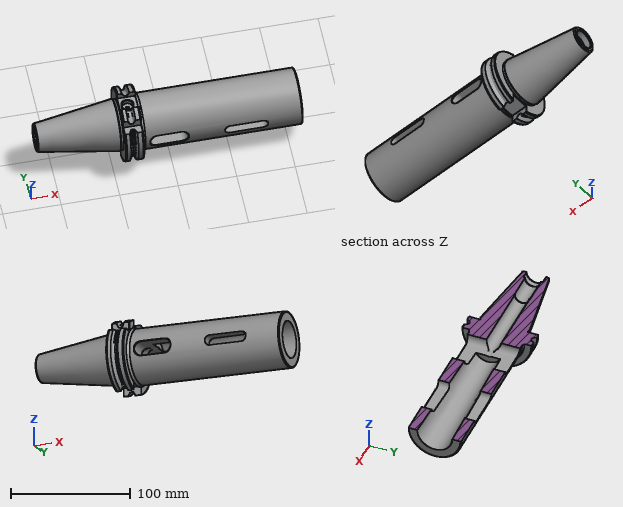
import cadquery as cq
import math

total_length = 224.5
shank_length = 68.5
body_end = total_length - shank_length

gauge_radius = 22.2
radius_per_length = 7 / 24 / 2
shank_tip_radius = gauge_radius - shank_length * radius_per_length
shank_tip_chamfer = 1.1

taper_end = 0.7
undercut_radius = 21.8
undercut_ramp = 0.7
undercut_face_depth = 0.2
undercut_face_radius = 22.7
taper_end_radius = gauge_radius + taper_end * radius_per_length

flange_start = 3.1
flange_end = 19.0
flange_radius = 31.6
flange_chamfer_length = 1.1
flange_chamfer_depth = 0.5
groove_center = 10.8
groove_wall_angle = math.radians(30)
groove_floor_radius = 28.3
groove_floor_half_width = 1.3
groove_corner_radius = 1.1

body_radius = 24.0
body_chamfer = 1.0
collar_length = 2.5
collar_radius = 25.1

drive_slot_width = 16.2
top_slot_floor = 25.0
bottom_slot_floor = 23.0
notch_side = 18.2
notch_floor = 18.5
cut_edge_chamfer = 0.5

screw_recess_radius = 5.0
screw_recess_chamfer = 0.5
screw_recess_depth = 4.5
screw_socket_radius = 1.5
screw_socket_depth = 1.8

tip_bore_radius = 8.5
tip_bore_depth = 6.7
tip_bore_chamfer = 0.7
thread_radius = 7.0
thread_lead_in = 1.1
thread_depth = 31.5
through_radius = 6.5
socket_mouth_radius = 15.7
socket_depth = 118.0
socket_end_radius = 12.5

drift_slot_start = 25.5
drift_slot_length = 32.5
drift_slot_width = 12.1
drift_slot_chamfer = 0.5
key_slot_start = 89.3
key_slot_length = 36.8
key_slot_width = 8.8


def revolve_about_axis(points):
    """Revolve an (axial, radial) outline about the X axis."""
    return cq.Workplane("XY").polyline(points).close().revolve(360, (0, 0, 0), (1, 0, 0))


def box_between(x_range, y_range, z_range):
    """Box spanning the given coordinate ranges."""
    ranges = (x_range, y_range, z_range)
    sizes = [high - low for low, high in ranges]
    middle = tuple((low + high) / 2 for low, high in ranges)
    return cq.Workplane("XY").box(*sizes).translate(middle)


def make_solid_of_revolution():
    tip = -shank_length
    flange_edge_radius = flange_radius - flange_chamfer_depth
    return revolve_about_axis([
        (tip, 0),
        (tip, shank_tip_radius - shank_tip_chamfer),
        (tip + shank_tip_chamfer, shank_tip_radius),
        (taper_end, taper_end_radius),
        (taper_end + undercut_ramp, undercut_radius),
        (flange_start + undercut_face_depth, undercut_radius),
        (flange_start, undercut_face_radius),
        (flange_start, flange_edge_radius),
        (flange_start + flange_chamfer_length, flange_radius),
        (flange_end - flange_chamfer_length, flange_radius),
        (flange_end, flange_edge_radius),
        (flange_end, collar_radius),
        (flange_end + collar_length, body_radius),
        (body_end - body_chamfer, body_radius),
        (body_end, body_radius - body_chamfer),
        (body_end, 0),
    ])


def make_gripper_groove():
    wall_slope = math.tan(groove_wall_angle)
    mouth_half_width = groove_floor_half_width + (flange_radius - groove_floor_radius) * wall_slope
    tangent_length = groove_corner_radius * math.tan((math.pi / 2 - groove_wall_angle) / 2)
    floor_half = groove_floor_half_width - tangent_length
    arc_top_half = groove_floor_half_width + tangent_length * math.sin(groove_wall_angle)
    arc_top = groove_floor_radius + tangent_length * math.cos(groove_wall_angle)
    return (
        cq.Workplane("XY")
        .moveTo(groove_center - mouth_half_width, flange_radius)
        .lineTo(groove_center - arc_top_half, arc_top)
        .radiusArc((groove_center - floor_half, groove_floor_radius), -groove_corner_radius)
        .lineTo(groove_center + floor_half, groove_floor_radius)
        .radiusArc((groove_center + arc_top_half, arc_top), -groove_corner_radius)
        .lineTo(groove_center + mouth_half_width, flange_radius)
        .close()
        .revolve(360, (0, 0, 0), (1, 0, 0))
    )


def make_bores():
    tip = -shank_length
    return revolve_about_axis([
        (tip, 0),
        (tip, tip_bore_radius + tip_bore_chamfer),
        (tip + tip_bore_chamfer, tip_bore_radius),
        (tip + tip_bore_depth, tip_bore_radius),
        (tip + tip_bore_depth + thread_lead_in, thread_radius),
        (tip + thread_depth, thread_radius),
        (tip + thread_depth, through_radius),
        (body_end - socket_depth, through_radius),
        (body_end - socket_depth, socket_end_radius),
        (body_end, socket_mouth_radius),
        (body_end, 0),
    ])


def make_edge_chamfer(face_x, depth, y_range, z_range):
    """Wedge that breaks a pocket's edges on the face at face_x, narrowing over the signed depth."""
    width = y_range[1] - y_range[0] + 2 * cut_edge_chamfer
    height = z_range[1] - z_range[0] + 2 * cut_edge_chamfer
    return (
        cq.Workplane("YZ", origin=(face_x, sum(y_range) / 2, sum(z_range) / 2))
        .rect(width, height)
        .extrude(depth, taper=45)
    )


def make_flange_cuts():
    flange_span = (flange_start, flange_end)
    half_width = drive_slot_width / 2
    slot_span = (-half_width, half_width)
    top_slot = (slot_span, (top_slot_floor, flange_radius))
    bottom_slot = (slot_span, (-flange_radius, -bottom_slot_floor))
    notch = ((-flange_radius, -notch_side), (notch_floor, flange_radius))
    cuts = make_edge_chamfer(flange_end, -cut_edge_chamfer, *notch)
    for pocket in (top_slot, bottom_slot, notch):
        cuts = cuts.union(box_between(flange_span, *pocket))
        cuts = cuts.union(make_edge_chamfer(flange_start, cut_edge_chamfer, *pocket))
    return cuts


def make_screw_recess():
    rim_radius = screw_recess_radius + screw_recess_chamfer
    recess_floor = top_slot_floor - screw_recess_depth
    socket_floor = recess_floor - screw_socket_depth
    return (
        cq.Workplane("XZ")
        .polyline([
            (0, socket_floor),
            (screw_socket_radius, socket_floor),
            (screw_socket_radius, recess_floor),
            (screw_recess_radius, recess_floor),
            (screw_recess_radius, top_slot_floor - screw_recess_chamfer),
            (rim_radius, top_slot_floor),
            (0, top_slot_floor),
        ])
        .close()
        .revolve(360, (0, 0, 0), (0, 1, 0))
        .translate((groove_center, 0, 0))
    )


def make_cross_slot(start, length, width):
    return (
        cq.Workplane("XZ", origin=(start + length / 2, 0, 0))
        .slot2D(length, width)
        .extrude(body_radius, both=True)
    )


def chamfer_drift_slot(part):
    """Break the rims of the drift slot where it opens on both sides of the body."""
    drift_slot_end = drift_slot_start + drift_slot_length
    half_width = drift_slot_width / 2
    margin = 0.2
    for inner_y, outer_y in ((socket_mouth_radius, body_radius), (-socket_mouth_radius, -body_radius)):
        rim_box = cq.selectors.BoxSelector(
            (drift_slot_start - margin, inner_y, -half_width - margin),
            (drift_slot_end + margin, outer_y, half_width + margin),
        )
        part = part.edges(rim_box).chamfer(drift_slot_chamfer)
    return part


result = make_solid_of_revolution()
result = result.cut(make_flange_cuts())
result = result.cut(make_gripper_groove())
result = result.cut(make_screw_recess())
result = result.cut(make_bores())
result = result.cut(make_cross_slot(drift_slot_start, drift_slot_length, drift_slot_width))
result = result.cut(make_cross_slot(key_slot_start, key_slot_length, key_slot_width))
result = chamfer_drift_slot(result)